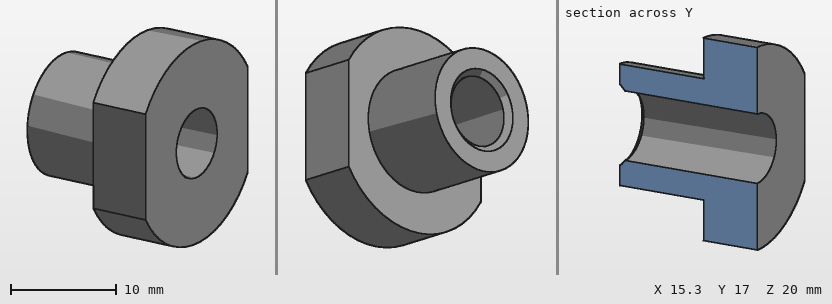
import cadquery as cq

total_length = 15.3
flange_thickness = 6
flange_diameter = 20
flange_width = 17
barrel_diameter = 12
bore_diameter = 6.8
bore_mouth_diameter = 8

barrel_length = total_length - flange_thickness
bore_chamfer = (bore_mouth_diameter - bore_diameter) / 2


def make_flange():
    """Round flange with flats on its -Y and +Y sides."""
    disc = (
        cq.Workplane("YZ", origin=(barrel_length, 0, 0))
        .circle(flange_diameter / 2)
        .extrude(flange_thickness)
    )
    flats_envelope = (
        cq.Workplane("YZ", origin=(barrel_length, 0, 0))
        .rect(flange_width, flange_diameter)
        .extrude(flange_thickness)
    )
    return disc.intersect(flats_envelope)


def make_barrel():
    """Cylindrical barrel reaching from the open end to the flange."""
    return cq.Workplane("YZ").circle(barrel_diameter / 2).extrude(barrel_length)


def make_bore():
    """Through bore with a 45 degree chamfer at the barrel's open end."""
    bore = cq.Workplane("YZ").circle(bore_diameter / 2).extrude(total_length)
    mouth = (
        cq.Workplane("YZ")
        .circle(bore_mouth_diameter / 2)
        .extrude(bore_chamfer, taper=45)
    )
    return bore.union(mouth)


result = make_flange().union(make_barrel()).cut(make_bore())